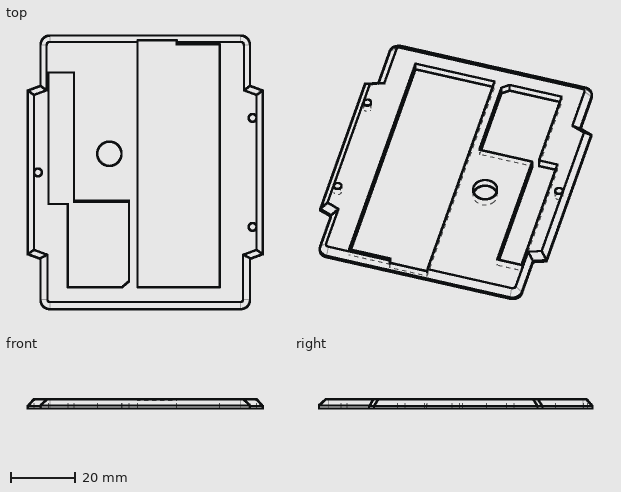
import cadquery as cq

length = 85.0
body_width = 65.1
ear_width = 73.0
thickness = 3.0
rim_height = 1.0
slope_height = thickness - rim_height
slope_run = 2.2
corner_radius = 3.0

ear_tip_length = 50.8
ear_root_length = 53.7

window_left = -2.4
window_right = 23.1
window_front = -35.6
window_back = 39.7
notch_right = 9.8
notch_back = 41.0

slot_left = -30.0
slot_right = -22.2
slot_back = 30.9
slot_front = -9.8
pocket_left = -24.05
pocket_right = -5.1
pocket_front = window_front
pocket_back = -8.75
pocket_corner_x = 2.1
pocket_corner_y = 1.8
wall_lean = 0.4

button_diameter = 7.5
button_center = (-11.1, 5.8)
screw_diameter = 2.4
screw_x = 33.3
screw_y = 16.9
screw_centers = [(-screw_x, 0), (screw_x, screw_y), (screw_x, -screw_y)]


def make_plate():
    """Rounded body with two tapered ears and a sloped upper edge."""
    body = (
        cq.Workplane("XY")
        .rect(body_width, length)
        .extrude(thickness)
        .edges("|Z")
        .fillet(corner_radius)
    )
    ears = (
        cq.Workplane("XY")
        .moveTo(-ear_width / 2, -ear_tip_length / 2)
        .lineTo(-body_width / 2, -ear_root_length / 2)
        .lineTo(body_width / 2, -ear_root_length / 2)
        .lineTo(ear_width / 2, -ear_tip_length / 2)
        .lineTo(ear_width / 2, ear_tip_length / 2)
        .lineTo(body_width / 2, ear_root_length / 2)
        .lineTo(-body_width / 2, ear_root_length / 2)
        .lineTo(-ear_width / 2, ear_tip_length / 2)
        .close()
        .extrude(thickness)
    )
    return body.union(ears).faces(">Z").chamfer(slope_height, slope_run)


def make_window():
    """Through cutter for the display window and its notch."""
    return (
        cq.Workplane("XY")
        .moveTo(window_left, window_front)
        .lineTo(window_right, window_front)
        .lineTo(window_right, window_back)
        .lineTo(notch_right, window_back)
        .lineTo(notch_right, notch_back)
        .lineTo(window_left, notch_back)
        .close()
        .extrude(thickness)
    )


def make_side_opening():
    """Through cutter for the slot and pocket, with the leaning back wall."""
    slot = (
        cq.Workplane("XY")
        .moveTo(slot_left, slot_front)
        .lineTo(slot_right, slot_front)
        .lineTo(slot_right, slot_back)
        .lineTo(slot_left, slot_back)
        .close()
        .extrude(thickness)
    )
    pocket = (
        cq.Workplane("XY")
        .moveTo(pocket_left, pocket_front)
        .lineTo(pocket_right - pocket_corner_x, pocket_front)
        .lineTo(pocket_right, pocket_front + pocket_corner_y)
        .lineTo(pocket_right, slot_front)
        .lineTo(pocket_left, slot_front)
        .close()
        .extrude(thickness)
    )
    leaning_wall = (
        cq.Workplane("YZ", origin=(slot_right, 0, 0))
        .moveTo(slot_front, 0)
        .lineTo(pocket_back - wall_lean, 0)
        .lineTo(pocket_back, thickness)
        .lineTo(slot_front, thickness)
        .close()
        .extrude(pocket_right - slot_right)
    )
    return slot.union(pocket).union(leaning_wall)


def drill(plate, centers, diameter):
    """Cut round through holes at the given centers."""
    holes = cq.Workplane("XY").pushPoints(centers).circle(diameter / 2).extrude(thickness)
    return plate.cut(holes)


result = make_plate().cut(make_window()).cut(make_side_opening())
result = drill(result, [button_center], button_diameter)
result = drill(result, screw_centers, screw_diameter)